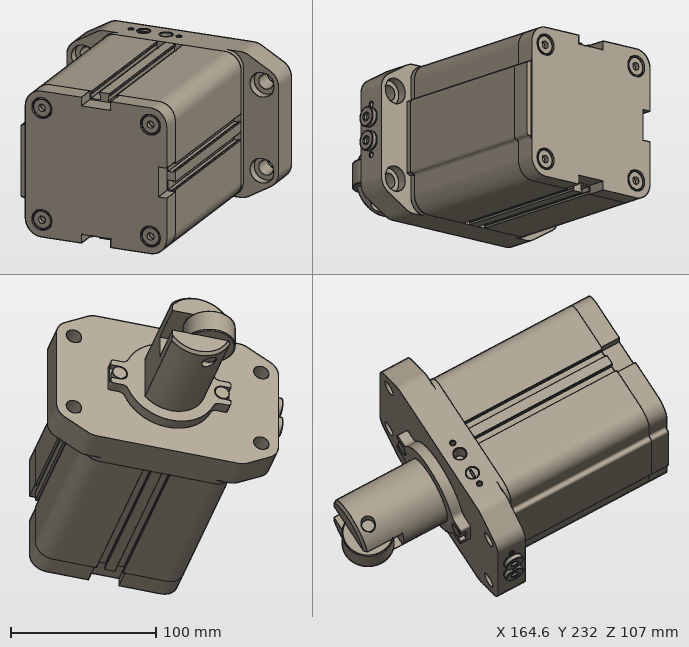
import cadquery as cq
import math

BOTH_SIDES = (-1, 1)

PLATE_THICKNESS = 22.0
SPIGOT_LENGTH = 4.0
BARREL_LENGTH = 110.7
CAP_LENGTH = 14.3
BOSS_HEIGHT = 8.0
BARREL_FRONT = -SPIGOT_LENGTH
CAP_FRONT = BARREL_FRONT - BARREL_LENGTH
CAP_REAR = CAP_FRONT - CAP_LENGTH
BOSS_FRONT = PLATE_THICKNESS + BOSS_HEIGHT

SECTION_SIDE = 107.0
SECTION_HALF = SECTION_SIDE / 2
SPIGOT_CORNER_RADIUS = 12.0
BARREL_CORNER_RADIUS = 12.5
BOLT_OFFSET = SECTION_HALF - BARREL_CORNER_RADIUS

RAIL_HEIGHT = 3.6
RAIL_HALF_WIDTH = 26.7
RAIL_ROUND = 1.75
SPIGOT_RAIL_ROOT_HALF_WIDTH = 27.0
SPIGOT_RAIL_TOP_HALF_WIDTH = 25.6
RAIL_END_GAP = 0.8

GROOVE_OFFSET = 6.7
GROOVE_DEPTH = 5.4
GROOVE_MOUTH_WIDTH = 5.8
GROOVE_FLOOR_WIDTH = 7.0
GROOVE_LIP = 1.8
CAP_SLOT_WIDTH = 22.0
CAP_SLOT_DEPTH = 6.4
GROOVED_SIDE_ANGLES = (0, 90, 180)

PLATE_WIDTH = 160.0
PLATE_CORNER_SLOPE = math.radians(30)
PLATE_SIDE_CORNER_Z = 38.8
PLATE_CORNER_ROUND = 12.0
MOUNT_SPACING_X = 135.0
MOUNT_SPACING_Z = 63.0
MOUNT_HOLE_DIAMETER = 11.0
MOUNT_RECESS_DIAMETER = 18.0
MOUNT_RECESS_DEPTH = 7.0

BOSS_DIAMETER = 67.0
LUG_SPAN = 86.2
LUG_WIDTH = 20.4
LUG_END_ROUND = 1.6
LUG_ROOT_RADIUS = 4.8
LUG_SCREW_X = 37.0
LUG_SCREW_DIAMETER = 10.0
LUG_RECESS_WIDTH = 11.2
LUG_RECESS_DEPTH = 4.4

PORT_Y = PLATE_THICKNESS / 2
PORT_PITCH = 17.0
SIDE_PORT_CENTRE_Z = 3.9
TOP_PORT_CENTRE_X = -18.3
PORT_DIAMETER = 8.57
PORT_MOUTH_DIAMETER = 9.73
PORT_DEPTH = 12.0
PORT_PLUG_RECESS = 0.6
PLUG_DRIVE_LENGTH = 6.0
PLUG_DRIVE_WIDTH = 1.4
PLUG_DRIVE_DEPTH = 1.0
TAPPED_HOLE_PITCH = 36.2
TAPPED_HOLE_DIAMETER = 3.24
TAPPED_HOLE_MOUTH = 4.3
TAPPED_HOLE_DEPTH = 8.0

PLUG_PROTRUSION = 4.6
PLUG_COLLAR_DIAMETER = 13.0
PLUG_COLLAR_LENGTH = 0.9
PLUG_HEAD_DIAMETER = 14.0
PLUG_CHAMFER = 0.5
PLUG_SOCKET_DIAMETER = 5.0
PLUG_SOCKET_MOUTH = 6.2
PLUG_SOCKET_DEPTH = 2.5

SCREW_RECESS_DIAMETER = 15.0
SCREW_RECESS_DEPTH = 2.0
SCREW_HEAD_DIAMETER = 14.0
SCREW_FACE_DIAMETER = 12.6
SCREW_HEAD_HEIGHT = 1.5
SCREW_SOCKET_DIAMETER = 5.2
SCREW_SOCKET_DEPTH = 4.0

ROD_DIAMETER = 50.0
ROD_FRONT = 95.0
ROD_CHAMFER = 2.0
ROD_FLAT_X = 18.7
FORK_WIDTH = 17.4
FORK_FLOOR_Y = 64.8
ROLLER_DIAMETER = 36.0
ROLLER_CHAMFER = 0.7
ROLLER_X = -10.7
ROLLER_Y = 85.0
PIN_DIAMETER = 10.0
PIN_LENGTH = 38.0
PIN_CHAMFER = 0.5


def y_plane(y):
    """Workplane across the rod axis at y, with local x = X, local y = Z, extruding toward -Y."""
    return cq.Workplane("XZ", origin=(0, y, 0))


def rounded_square(y_front, length, corner_radius):
    """Square section of the cylinder, running rearward from y_front."""
    block = y_plane(y_front).rect(SECTION_SIDE, SECTION_SIDE).extrude(length)
    return block.edges("|Y").fillet(corner_radius)


def rounded_rail(y_front, length):
    """Rail on the -X side with rounded shoulders and rounded roots."""
    base = -SECTION_HALF
    top = base - RAIL_HEIGHT
    root_end = RAIL_HALF_WIDTH + RAIL_ROUND
    shoulder = RAIL_HALF_WIDTH - RAIL_ROUND
    bend = RAIL_ROUND * (1 - math.sqrt(0.5))
    profile = (
        y_plane(y_front)
        .moveTo(base + RAIL_ROUND, root_end)
        .lineTo(base, root_end)
        .threePointArc((base - bend, RAIL_HALF_WIDTH + bend), (base - RAIL_ROUND, RAIL_HALF_WIDTH))
        .lineTo(top + RAIL_ROUND, RAIL_HALF_WIDTH)
        .threePointArc((top + bend, RAIL_HALF_WIDTH - bend), (top, shoulder))
        .lineTo(top, -shoulder)
        .threePointArc((top + bend, bend - RAIL_HALF_WIDTH), (top + RAIL_ROUND, -RAIL_HALF_WIDTH))
        .lineTo(base - RAIL_ROUND, -RAIL_HALF_WIDTH)
        .threePointArc((base - bend, -RAIL_HALF_WIDTH - bend), (base, -root_end))
        .lineTo(base + RAIL_ROUND, -root_end)
        .close()
    )
    return profile.extrude(length)


def turn_to_side(cutter, angle):
    """Turns a cutter made for the +Z side about the rod axis."""
    return cutter.rotate((0, 0, 0), (0, 1, 0), angle)


def flange_plate():
    half_width = PLATE_WIDTH / 2
    top_corner_x = half_width - (SECTION_HALF - PLATE_SIDE_CORNER_Z) / math.tan(PLATE_CORNER_SLOPE)
    outline = [
        (top_corner_x, SECTION_HALF),
        (half_width, PLATE_SIDE_CORNER_Z),
        (half_width, -PLATE_SIDE_CORNER_Z),
        (top_corner_x, -SECTION_HALF),
        (-top_corner_x, -SECTION_HALF),
        (-half_width, -PLATE_SIDE_CORNER_Z),
        (-half_width, PLATE_SIDE_CORNER_Z),
        (-top_corner_x, SECTION_HALF),
    ]
    plate = y_plane(PLATE_THICKNESS).polyline(outline).close().extrude(PLATE_THICKNESS)
    return plate.edges("|Y").fillet(PLATE_CORNER_ROUND)


def flange_spigot():
    spigot = rounded_square(0, SPIGOT_LENGTH, SPIGOT_CORNER_RADIUS)
    base = -SECTION_HALF
    top = base - RAIL_HEIGHT
    rail_outline = [
        (0, SPIGOT_RAIL_ROOT_HALF_WIDTH),
        (base, SPIGOT_RAIL_ROOT_HALF_WIDTH),
        (top, SPIGOT_RAIL_TOP_HALF_WIDTH),
        (top, -SPIGOT_RAIL_TOP_HALF_WIDTH),
        (base, -SPIGOT_RAIL_ROOT_HALF_WIDTH),
        (0, -SPIGOT_RAIL_ROOT_HALF_WIDTH),
    ]
    rail = y_plane(0).polyline(rail_outline).close().extrude(SPIGOT_LENGTH)
    return spigot.union(rail)


def guide_boss():
    lugs = y_plane(BOSS_FRONT).rect(LUG_SPAN, LUG_WIDTH).extrude(BOSS_HEIGHT)
    lugs = lugs.edges("|Y").fillet(LUG_END_ROUND)
    boss = y_plane(BOSS_FRONT).circle(BOSS_DIAMETER / 2).extrude(BOSS_HEIGHT).union(lugs)
    root_z = LUG_WIDTH / 2
    root_x = math.sqrt((BOSS_DIAMETER / 2) ** 2 - root_z**2)
    middle_y = PLATE_THICKNESS + BOSS_HEIGHT / 2
    for side_x in BOTH_SIDES:
        for side_z in BOTH_SIDES:
            corner = cq.selectors.NearestToPointSelector((side_x * root_x, middle_y, side_z * root_z))
            boss = boss.edges(corner).fillet(LUG_ROOT_RADIUS)
    return boss


def lug_screw_recesses():
    """Screw seats in the lugs, open through the lug ends and filled by the screw heads."""
    outer_x = LUG_SPAN / 2
    cutters = cq.Workplane()
    for side in BOTH_SIDES:
        seat = y_plane(BOSS_FRONT).center(side * LUG_SCREW_X, 0)
        recess = seat.circle(LUG_RECESS_WIDTH / 2).extrude(LUG_RECESS_DEPTH)
        exit_slot = (
            y_plane(BOSS_FRONT)
            .center(side * (LUG_SCREW_X + outer_x) / 2, 0)
            .rect(outer_x - LUG_SCREW_X, LUG_RECESS_WIDTH)
            .extrude(LUG_RECESS_DEPTH)
        )
        head = seat.circle(LUG_SCREW_DIAMETER / 2).extrude(LUG_RECESS_DEPTH)
        cutters = cutters.add(recess.union(exit_slot).cut(head))
    return cutters.combine()


def mounting_holes():
    """Four through holes, counterbored from the rear face."""
    places = y_plane(PLATE_THICKNESS).rect(MOUNT_SPACING_X, MOUNT_SPACING_Z, forConstruction=True).vertices()
    holes = places.circle(MOUNT_HOLE_DIAMETER / 2).extrude(PLATE_THICKNESS)
    recesses = (
        y_plane(MOUNT_RECESS_DEPTH)
        .rect(MOUNT_SPACING_X, MOUNT_SPACING_Z, forConstruction=True)
        .vertices()
        .circle(MOUNT_RECESS_DIAMETER / 2)
        .extrude(MOUNT_RECESS_DEPTH)
    )
    return holes.union(recesses)


def chamfered_hole(place, diameter, mouth_diameter, depth):
    """Blind hole cutter going down local z from the place, with a 45 degree mouth."""
    radius = diameter / 2
    mouth = mouth_diameter / 2
    profile = [(0, 0), (mouth, 0), (radius, radius - mouth), (radius, -depth), (0, -depth)]
    cutter = cq.Workplane("XZ").polyline(profile).close().revolve(360, (0, 0), (0, 1))
    return cutter.val().located(cq.Location(place))


def top_place(x):
    """Place in the upper edge face of the plate, facing +Z."""
    return cq.Plane(origin=(x, PORT_Y, SECTION_HALF), xDir=(1, 0, 0), normal=(0, 0, 1))


def side_place(z):
    """Place in the -X edge face of the plate, facing -X."""
    return cq.Plane(origin=(-PLATE_WIDTH / 2, PORT_Y, z), xDir=(0, 1, 0), normal=(-1, 0, 0))


def tapped_holes():
    half_pitch = TAPPED_HOLE_PITCH / 2
    cutters = cq.Workplane()
    for side in BOTH_SIDES:
        for place in (
            top_place(TOP_PORT_CENTRE_X + side * half_pitch),
            side_place(SIDE_PORT_CENTRE_Z + side * half_pitch),
        ):
            hole = chamfered_hole(place, TAPPED_HOLE_DIAMETER, TAPPED_HOLE_MOUTH, TAPPED_HOLE_DEPTH)
            cutters = cutters.add(hole)
    return cutters.combine()


def top_ports():
    """An open port, and a port closed by a slotted plug just below the surface."""
    open_place = top_place(TOP_PORT_CENTRE_X + PORT_PITCH / 2)
    plugged_place = top_place(TOP_PORT_CENTRE_X - PORT_PITCH / 2)
    open_port = chamfered_hole(open_place, PORT_DIAMETER, PORT_MOUTH_DIAMETER, PORT_DEPTH)
    plug_seat = chamfered_hole(plugged_place, PORT_DIAMETER, PORT_MOUTH_DIAMETER, PORT_PLUG_RECESS)
    drive_slot = (
        cq.Workplane(plugged_place)
        .rect(PLUG_DRIVE_LENGTH, PLUG_DRIVE_WIDTH)
        .extrude(-PORT_PLUG_RECESS - PLUG_DRIVE_DEPTH)
    )
    return cq.Workplane(open_port).add(plug_seat).add(drive_slot).combine()


def side_plug(z):
    """Port plug standing on the -X edge: a narrow collar, a chamfered head and a round socket."""
    place = side_place(z)
    collar = cq.Workplane(place).circle(PLUG_COLLAR_DIAMETER / 2).extrude(PLUG_COLLAR_LENGTH)
    head = (
        cq.Workplane(place)
        .workplane(offset=PLUG_COLLAR_LENGTH)
        .circle(PLUG_HEAD_DIAMETER / 2)
        .extrude(PLUG_PROTRUSION - PLUG_COLLAR_LENGTH)
        .edges("<X")
        .chamfer(PLUG_CHAMFER)
    )
    face_place = cq.Plane(
        origin=place.toWorldCoords((0, 0, PLUG_PROTRUSION)).toTuple(), xDir=place.xDir, normal=place.zDir
    )
    socket = chamfered_hole(face_place, PLUG_SOCKET_DIAMETER, PLUG_SOCKET_MOUTH, PLUG_SOCKET_DEPTH)
    return collar.union(head).cut(cq.Workplane(socket))


def make_flange():
    flange = flange_plate().union(flange_spigot()).union(guide_boss())
    flange = flange.cut(lug_screw_recesses()).cut(mounting_holes()).cut(tapped_holes()).cut(top_ports())
    for side in BOTH_SIDES:
        flange = flange.union(side_plug(SIDE_PORT_CENTRE_Z + side * PORT_PITCH / 2))
    rod_bore = y_plane(BOSS_FRONT).circle(ROD_DIAMETER / 2).extrude(BOSS_FRONT - BARREL_FRONT)
    rod_flat_key = rod_flat_block(BARREL_FRONT, BOSS_FRONT)
    return flange.cut(rod_bore.cut(rod_flat_key))


def sensor_groove_pair():
    """Two T-shaped grooves in the +Z side, along the full barrel."""
    pair = cq.Workplane()
    floor_height = GROOVE_DEPTH - GROOVE_LIP
    for side in BOTH_SIDES:
        start = y_plane(BARREL_FRONT).center(side * GROOVE_OFFSET, SECTION_HALF)
        mouth = start.rect(GROOVE_MOUTH_WIDTH, 2 * GROOVE_DEPTH).extrude(BARREL_LENGTH)
        floor = (
            start.center(0, -GROOVE_LIP - floor_height / 2)
            .rect(GROOVE_FLOOR_WIDTH, floor_height)
            .extrude(BARREL_LENGTH)
        )
        pair = pair.add(mouth.union(floor))
    return pair.combine()


def make_barrel():
    barrel = rounded_square(BARREL_FRONT, BARREL_LENGTH, BARREL_CORNER_RADIUS)
    barrel = barrel.union(rounded_rail(BARREL_FRONT, BARREL_LENGTH))
    for angle in GROOVED_SIDE_ANGLES:
        barrel = barrel.cut(turn_to_side(sensor_groove_pair(), angle))
    return barrel


def cap_screw_cutter():
    """Recess around one screw head and the socket in the head, sunk from the rear face."""
    recess_floor = CAP_REAR + SCREW_RECESS_DEPTH
    recess = y_plane(recess_floor).circle(SCREW_RECESS_DIAMETER / 2).extrude(SCREW_RECESS_DEPTH)
    head = (
        y_plane(recess_floor)
        .circle(SCREW_HEAD_DIAMETER / 2)
        .extrude(SCREW_HEAD_HEIGHT)
        .edges("<Y")
        .chamfer((SCREW_HEAD_DIAMETER - SCREW_FACE_DIAMETER) / 2)
    )
    socket_floor = CAP_REAR + SCREW_SOCKET_DEPTH
    socket = y_plane(socket_floor).circle(SCREW_SOCKET_DIAMETER / 2).extrude(SCREW_SOCKET_DEPTH)
    return recess.cut(head).union(socket)


def make_cap():
    cap = rounded_square(CAP_FRONT, CAP_LENGTH, BARREL_CORNER_RADIUS)
    cap = cap.union(rounded_rail(CAP_FRONT, CAP_LENGTH - RAIL_END_GAP))
    slot = (
        y_plane(CAP_FRONT)
        .center(0, SECTION_HALF)
        .rect(CAP_SLOT_WIDTH, 2 * CAP_SLOT_DEPTH)
        .extrude(CAP_LENGTH)
    )
    for angle in GROOVED_SIDE_ANGLES:
        cap = cap.cut(turn_to_side(slot, angle))
    for side_x in BOTH_SIDES:
        for side_z in BOTH_SIDES:
            cap = cap.cut(cap_screw_cutter().translate((side_x * BOLT_OFFSET, 0, side_z * BOLT_OFFSET)))
    return cap


def rod_flat_block(y_rear, y_front):
    """Block beyond the flat on the rod's +X side."""
    depth = ROD_DIAMETER / 2 - ROD_FLAT_X
    start = y_plane(y_front).center(ROD_FLAT_X + depth / 2, 0)
    return start.rect(depth, ROD_DIAMETER).extrude(y_front - y_rear)


def roller_cylinder(diameter, length):
    """Cylinder on the roller axis, centred on z = 0."""
    start = cq.Workplane("XY", origin=(ROLLER_X, ROLLER_Y, -length / 2))
    return start.circle(diameter / 2).extrude(length)


def make_rod():
    rod = y_plane(ROD_FRONT).circle(ROD_DIAMETER / 2).extrude(ROD_FRONT - BARREL_FRONT)
    rod = rod.edges(">Y").chamfer(ROD_CHAMFER)
    rod = rod.cut(rod_flat_block(BARREL_FRONT, ROD_FRONT))
    fork_slot = y_plane(ROD_FRONT).rect(ROD_DIAMETER, FORK_WIDTH).extrude(ROD_FRONT - FORK_FLOOR_Y)
    pin_hole = roller_cylinder(PIN_DIAMETER, ROD_DIAMETER)
    return rod.cut(fork_slot).cut(pin_hole)


def make_roller():
    """Roller filling the fork, in one piece with the pin carried by the rod."""
    wheel = roller_cylinder(ROLLER_DIAMETER, FORK_WIDTH)
    wheel = wheel.edges("<Z or >Z").chamfer(ROLLER_CHAMFER)
    pin = roller_cylinder(PIN_DIAMETER, PIN_LENGTH)
    pin = pin.edges("<Z or >Z").chamfer(PIN_CHAMFER)
    return wheel.union(pin)


flange = make_flange()
barrel = make_barrel()
cap = make_cap()
rod = make_rod()
roller = make_roller()

result = cq.Compound.makeCompound([flange.val(), barrel.val(), cap.val(), rod.val(), roller.val()])